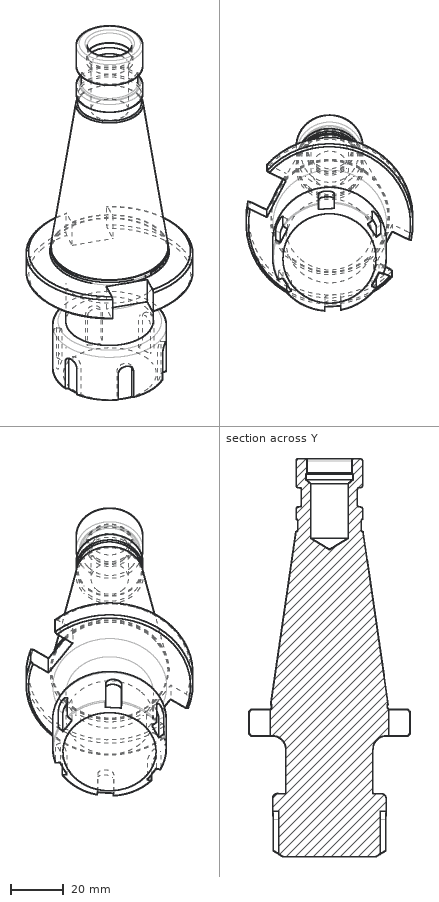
import cadquery as cq
import math

total_height = 150.4

nut_radius = 21.5
nut_height = 23.9
nut_top_round = 2.0
nut_face_radius = 17.6
nut_bevel_angle = 30.0
nut_bevel_round = 0.6

slot_count = 6
slot_width = 6.0
slot_top = 17.1
slot_floor_distance = 19.3

shank_radius = 16.5
shank_fillet = 5.0

flange_diameter = 63.0
flange_bottom = 45.5
flange_thickness = 10.1
flange_edge = 0.9
key_slot_width = 16.1
key_slot_floor = 22.4

undercut_radius = 22.0
undercut_height = 1.8
undercut_fillet = 0.6

taper_large_radius = 22.3
taper_slope = 7 / 24 / 2
taper_top = 122.7

neck_radius = 12.0
shoulder_height = 0.5
collar_radius = 12.6
collar_bottom = 127.5
collar_top = 132.2
groove_radius = 10.7
groove_fillet = 0.5
head_bottom = 139.3
edge_round = 1.0

bore_radius = 8.4
mouth_round = 0.9
relief_depth = 5.4
relief_radius = 8.9
seat_depth = 8.0
hole_radius = 7.0
hole_start_depth = 9.5
hole_depth = 30.1
drill_tip_angle = 118.0

flange_radius = flange_diameter / 2
flange_top = flange_bottom + flange_thickness


def step_towards(start, target, distance):
    """Return the point at a distance from start along the line to target."""
    fraction = distance / math.dist(start, target)
    return tuple(a + (b - a) * fraction for a, b in zip(start, target))


def revolve_outline(corners):
    """Revolve a closed outline around Z.

    Each corner is (radius, height) for a sharp corner or
    (radius, height, rounding) for one blended by a tangent arc.
    The first corner must be sharp.
    """
    outline = cq.Workplane("XZ").moveTo(*corners[0])
    for index in range(1, len(corners)):
        corner = corners[index][:2]
        if len(corners[index]) == 2:
            outline = outline.lineTo(*corner)
            continue
        rounding = corners[index][2]
        before = corners[index - 1][:2]
        after = corners[(index + 1) % len(corners)][:2]
        toward_before = step_towards(corner, before, 1.5)
        toward_after = step_towards(corner, after, 1.5)
        half_angle = math.asin(math.dist(toward_before, toward_after) / 3)
        arc_inset = rounding / math.tan(half_angle)
        arc_start = step_towards(corner, before, arc_inset)
        arc_end = step_towards(corner, after, arc_inset)
        chord_middle = tuple((a + b) / 2 for a, b in zip(arc_start, arc_end))
        arc_middle = step_towards(corner, chord_middle, rounding / math.sin(half_angle) - rounding)
        outline = outline.lineTo(*arc_start).threePointArc(arc_middle, arc_end)
    return outline.close().revolve(360, (0, 0, 0), (0, 1, 0))


def build_body():
    """Revolve the outer profile, from the nut face up to the head."""
    nut_bevel_height = (nut_radius - nut_face_radius) * math.tan(math.radians(nut_bevel_angle))
    taper_bottom = flange_top + undercut_height
    taper_small_radius = taper_large_radius - taper_slope * (taper_top - taper_bottom)
    flange_face_radius = flange_radius - flange_edge
    nut = [
        (0, 0),
        (nut_face_radius, 0),
        (nut_radius, nut_bevel_height, nut_bevel_round),
        (nut_radius, nut_height, nut_top_round),
    ]
    shank_and_flange = [
        (shank_radius, nut_height),
        (shank_radius, flange_bottom, shank_fillet),
        (flange_face_radius, flange_bottom),
        (flange_radius, flange_bottom + flange_edge),
        (flange_radius, flange_top - flange_edge),
        (flange_face_radius, flange_top),
    ]
    taper = [
        (undercut_radius, flange_top, undercut_fillet),
        (undercut_radius, taper_bottom),
        (taper_large_radius, taper_bottom),
        (taper_small_radius, taper_top),
    ]
    pull_end = [
        (neck_radius, taper_top + shoulder_height),
        (neck_radius, collar_bottom - shoulder_height),
        (collar_radius, collar_bottom),
        (collar_radius, collar_top, edge_round),
        (groove_radius, collar_top, groove_fillet),
        (groove_radius, head_bottom, groove_fillet),
        (collar_radius, head_bottom, edge_round),
        (collar_radius, total_height, edge_round),
        (0, total_height),
    ]
    return revolve_outline(nut + shank_and_flange + taper + pull_end)


def build_drawbar_hole():
    """Blind hole: rounded mouth, bore, relief groove, conical seat and drilled end."""
    relief_top = total_height - relief_depth
    hole_bottom = total_height - hole_depth
    tip_length = hole_radius / math.tan(math.radians(drill_tip_angle / 2))
    corners = [
        (0, hole_bottom - tip_length),
        (hole_radius, hole_bottom),
        (hole_radius, total_height - hole_start_depth),
        (relief_radius, total_height - seat_depth),
        (relief_radius, relief_top - (relief_radius - bore_radius)),
        (bore_radius, relief_top),
        (bore_radius, total_height, mouth_round),
        (collar_radius, total_height),
        (collar_radius, total_height + mouth_round),
        (0, total_height + mouth_round),
    ]
    return revolve_outline(corners)


def build_key_slots():
    """Two blocks that cut the drive slots through the flange on +X and -X."""
    depth = flange_radius - key_slot_floor
    return (
        cq.Workplane("XY")
        .workplane(offset=flange_bottom)
        .pushPoints([(side * (key_slot_floor + depth / 2), 0) for side in (-1, 1)])
        .rect(depth, key_slot_width)
        .extrude(flange_thickness)
    )


def build_spanner_slot():
    """One round-topped slot on +X, open at the nut face."""
    half_width = slot_width / 2
    return (
        cq.Workplane("YZ")
        .workplane(offset=slot_floor_distance)
        .moveTo(-half_width, 0)
        .lineTo(half_width, 0)
        .lineTo(half_width, slot_top - half_width)
        .threePointArc((0, slot_top), (-half_width, slot_top - half_width))
        .close()
        .extrude(nut_radius - slot_floor_distance)
    )


result = build_body().cut(build_drawbar_hole()).cut(build_key_slots())
spanner_slot = build_spanner_slot()
for index in range(slot_count):
    angle = index * 360 / slot_count
    result = result.cut(spanner_slot.rotate((0, 0, 0), (0, 0, 1), angle))